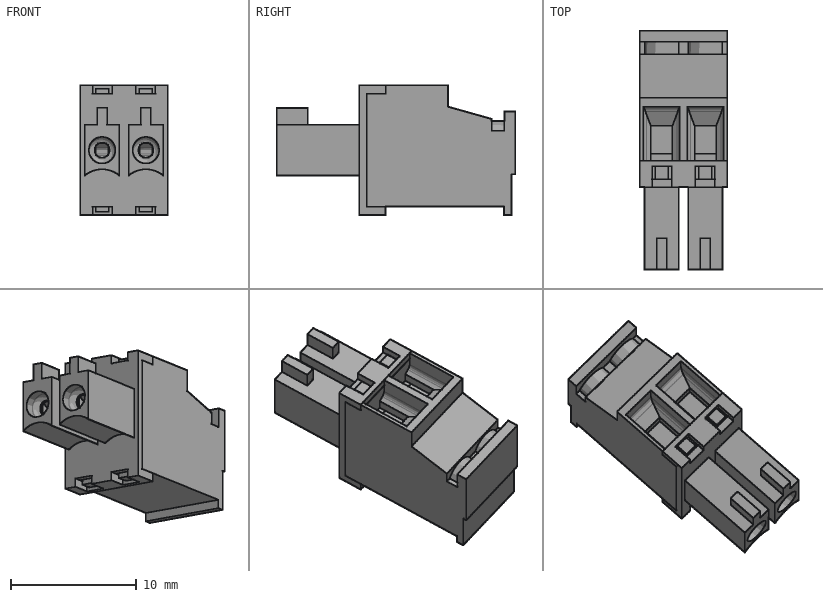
import cadquery as cq
import math


WIDTH = 7.0
HEIGHT = 10.4
REAR_Y = 12.5
PLUG_LENGTH = 6.6
POLE_PITCH = 3.5
POLE_CENTRES = [-POLE_PITCH / 2, POLE_PITCH / 2]

PLATE_THICKNESS = 0.62
ARM_THICKNESS = 0.69
ARM_END_Y = 2.12
WINDOW_PITCH = 3.46
WINDOW_WIDTH = 1.56
WINDOW_END_Y = 1.65

PLUG_WIDTH = 2.77
PLUG_TOP = 7.25
PLUG_BOTTOM = 3.17
PLUG_ARCH = 0.5
KEY_WIDTH = 0.8
KEY_LENGTH = 2.5
KEY_TOP = 8.57
BORE_Z = HEIGHT / 2
BORE_RADIUS = 1.06
BORE_STRAIGHT_DEPTH = 0.8
THROAT_RADIUS = 0.6
THROAT_LENGTH = 0.2

HOUSING_TOP_END_Y = 7.12
SLOPE_TOP = 8.68
SLOPE_BOTTOM = 7.7
GROOVE_FRONT_Y = 10.6
GROOVE_REAR_Y = 11.62
GROOVE_FLOOR = 6.75
REAR_WALL_TOP = 8.3
REAR_STEP_Z = 3.27
REAR_STEP_DEPTH = 0.3
FOOT_THICKNESS = 0.62
LATCH_WIDTH = 1.04
LATCH_HEIGHT = 0.4
WIRE_TUNNEL_RADIUS = 1.57
WIRE_TUNNEL_Z = 5.97

POCKET_WIDTH = 2.9
POCKET_REAR_Y = 6.43
POCKET_WALL_DEPTH = 1.65
POCKET_SLOPE_DEPTH = 0.38
POCKET_FILLET = 0.5
SHAFT_WIDTH = 1.73
SHAFT_REAR_Y = 4.9
SHAFT_DEPTH = 0.8
CORNER_SELECTION_MARGIN = 0.1

CONTACT_WIDTH = 1.7
CONTACT_HEIGHT = 1.9
MOUTH_WIDTH = 0.98
MOUTH_TOP = 0.55
MOUTH_BOTTOM = -0.62
MOUTH_DEPTH = 0.9
MOUTH_END_TOP = 0.17
MOUTH_END_BOTTOM = -0.4
MOUTH_FILLET = 0.12

CLAMP_HEIGHT = 1.0
BAR_REAR_Y = 2.67

PLUG_FRONT_Y = -PLUG_LENGTH
BORE_FILLET = BORE_RADIUS - THROAT_RADIUS
CONTACT_FRONT_Y = PLUG_FRONT_Y + BORE_STRAIGHT_DEPTH + BORE_FILLET + THROAT_LENGTH
POCKET_CORNER_Z = HEIGHT - POCKET_WALL_DEPTH
POCKET_FLOOR_Z = POCKET_CORNER_Z - POCKET_SLOPE_DEPTH
SHAFT_FLOOR_Z = POCKET_FLOOR_Z - SHAFT_DEPTH


def block(x_centre, width, y_start, y_end, z_bottom, z_top):
    """Box centred on x_centre between the given Y and Z limits."""
    return (
        cq.Workplane("XY")
        .box(width, y_end - y_start, z_top - z_bottom, centered=(True, False, False))
        .translate((x_centre, y_start, z_bottom))
    )


def extrude_side_profile(points, x_centre, width):
    """Extrude a (Y, Z) outline along X, centred on x_centre."""
    return (
        cq.Workplane("YZ", origin=(x_centre - width / 2, 0, 0))
        .polyline(points)
        .close()
        .extrude(width)
    )



def plug(x_centre):
    """Solid plug with an arched underside and a coding key on top."""
    half_width = PLUG_WIDTH / 2
    body = (
        cq.Workplane("XZ")
        .moveTo(-half_width, PLUG_BOTTOM)
        .lineTo(-half_width, PLUG_TOP)
        .lineTo(half_width, PLUG_TOP)
        .lineTo(half_width, PLUG_BOTTOM)
        .threePointArc((0, PLUG_BOTTOM + PLUG_ARCH), (-half_width, PLUG_BOTTOM))
        .close()
        .extrude(PLUG_LENGTH)
        .translate((x_centre, 0, 0))
    )
    key = block(x_centre, KEY_WIDTH, PLUG_FRONT_Y, PLUG_FRONT_Y + KEY_LENGTH, PLUG_TOP, KEY_TOP)
    return body.union(key)


def plug_bore(x_centre):
    """Round pin entry: a wide bore rounded down to a narrow throat that ends at the contact."""
    round_start = BORE_STRAIGHT_DEPTH
    round_end = BORE_STRAIGHT_DEPTH + BORE_FILLET
    diagonal = BORE_FILLET * math.sqrt(0.5)
    return (
        cq.Workplane("XY")
        .lineTo(BORE_RADIUS, 0)
        .lineTo(BORE_RADIUS, round_start)
        .threePointArc((THROAT_RADIUS + diagonal, round_start + diagonal), (THROAT_RADIUS, round_end))
        .lineTo(THROAT_RADIUS, round_end + THROAT_LENGTH)
        .lineTo(0, round_end + THROAT_LENGTH)
        .close()
        .revolve(360, (0, 0, 0), (0, 1, 0))
        .translate((x_centre, PLUG_FRONT_Y, BORE_Z))
    )


def contact_envelope(x_centre):
    """Space taken by a contact, from behind the throat to the back of the plug."""
    z_bottom = BORE_Z - CONTACT_HEIGHT / 2
    return block(x_centre, CONTACT_WIDTH, CONTACT_FRONT_Y, 0, z_bottom, z_bottom + CONTACT_HEIGHT)


def make_cover():
    cover = block(0, WIDTH, 0, PLATE_THICKNESS, 0, HEIGHT)
    for arm_bottom in (0, HEIGHT - ARM_THICKNESS):
        arm_top = arm_bottom + ARM_THICKNESS
        cover = cover.union(block(0, WIDTH, 0, ARM_END_Y, arm_bottom, arm_top))
        for x_centre in (-WINDOW_PITCH / 2, WINDOW_PITCH / 2):
            cover = cover.cut(block(x_centre, WINDOW_WIDTH, 0, WINDOW_END_Y, arm_bottom, arm_top))
    for x_centre in POLE_CENTRES:
        cover = cover.union(plug(x_centre))
        cover = cover.cut(plug_bore(x_centre)).cut(contact_envelope(x_centre))
    return cover



def make_contact(x_centre):
    """Contact with a funnel mouth that narrows in height towards a flat end."""
    mouth_end_y = CONTACT_FRONT_Y + MOUTH_DEPTH
    mouth = extrude_side_profile(
        [
            (CONTACT_FRONT_Y, BORE_Z + MOUTH_BOTTOM),
            (mouth_end_y, BORE_Z + MOUTH_END_BOTTOM),
            (mouth_end_y, BORE_Z + MOUTH_END_TOP),
            (CONTACT_FRONT_Y, BORE_Z + MOUTH_TOP),
        ],
        x_centre,
        MOUTH_WIDTH,
    )
    mouth = mouth.faces(">Y").edges("|X").fillet(MOUTH_FILLET)
    return contact_envelope(x_centre).cut(mouth)



def tool_pocket(x_centre):
    """Pocket with a sloped, filleted floor on three sides and a straight shaft below it.

    It is the part shared by a profile running along Y and a profile running along X,
    so the slopes and their fillets meet in mitres.
    """
    half_pocket = POCKET_WIDTH / 2
    half_shaft = SHAFT_WIDTH / 2
    across = (
        cq.Workplane("XZ", origin=(x_centre, ARM_END_Y, 0))
        .polyline(
            [
                (-half_pocket, HEIGHT),
                (-half_pocket, POCKET_CORNER_Z),
                (-half_shaft, POCKET_FLOOR_Z),
                (half_shaft, POCKET_FLOOR_Z),
                (half_pocket, POCKET_CORNER_Z),
                (half_pocket, HEIGHT),
            ]
        )
        .close()
        .extrude(ARM_END_Y - POCKET_REAR_Y)
    )
    corner_zone = cq.selectors.BoxSelector(
        (-WIDTH, 0, POCKET_CORNER_Z - CORNER_SELECTION_MARGIN),
        (WIDTH, REAR_Y, POCKET_CORNER_Z + CORNER_SELECTION_MARGIN),
    )
    across = across.edges(corner_zone).fillet(POCKET_FILLET)
    along = extrude_side_profile(
        [
            (ARM_END_Y, HEIGHT),
            (ARM_END_Y, POCKET_FLOOR_Z),
            (SHAFT_REAR_Y, POCKET_FLOOR_Z),
            (POCKET_REAR_Y, POCKET_CORNER_Z),
            (POCKET_REAR_Y, HEIGHT),
        ],
        x_centre,
        POCKET_WIDTH,
    )
    along = along.edges(corner_zone).fillet(POCKET_FILLET)
    shaft = block(x_centre, SHAFT_WIDTH, ARM_END_Y, SHAFT_REAR_Y, SHAFT_FLOOR_Z, POCKET_FLOOR_Z)
    return across.intersect(along).union(shaft)


def make_clamp(x_centre):
    """Clamp block filling the rear of the shaft bottom."""
    return block(
        x_centre, SHAFT_WIDTH, BAR_REAR_Y, SHAFT_REAR_Y, SHAFT_FLOOR_Z - CLAMP_HEIGHT, SHAFT_FLOOR_Z
    )


def make_bar(x_centre):
    """Current bar filling the front of the shaft bottom."""
    return block(
        x_centre, SHAFT_WIDTH, ARM_END_Y, BAR_REAR_Y, SHAFT_FLOOR_Z - CLAMP_HEIGHT, SHAFT_FLOOR_Z
    )


def wire_tunnel(x_centre):
    """Round tunnel wall that bulges up through the groove in front of the rear wall."""
    return (
        cq.Workplane("XZ", origin=(x_centre, GROOVE_FRONT_Y, WIRE_TUNNEL_Z))
        .circle(WIRE_TUNNEL_RADIUS)
        .extrude(GROOVE_FRONT_Y - GROOVE_REAR_Y)
    )


def make_housing():
    underside = ARM_THICKNESS
    shoulder = HEIGHT - ARM_THICKNESS
    lower_rear_y = REAR_Y - REAR_STEP_DEPTH
    foot_front_y = lower_rear_y - FOOT_THICKNESS
    housing = extrude_side_profile(
        [
            (PLATE_THICKNESS, underside),
            (PLATE_THICKNESS, shoulder),
            (ARM_END_Y, shoulder),
            (ARM_END_Y, HEIGHT),
            (HOUSING_TOP_END_Y, HEIGHT),
            (HOUSING_TOP_END_Y, SLOPE_TOP),
            (GROOVE_FRONT_Y, SLOPE_BOTTOM),
            (GROOVE_FRONT_Y, GROOVE_FLOOR),
            (GROOVE_REAR_Y, GROOVE_FLOOR),
            (GROOVE_REAR_Y, REAR_WALL_TOP),
            (REAR_Y, REAR_WALL_TOP),
            (REAR_Y, REAR_STEP_Z),
            (lower_rear_y, REAR_STEP_Z),
            (lower_rear_y, 0),
            (foot_front_y, 0),
            (foot_front_y, underside),
        ],
        0,
        WIDTH,
    )
    for x_centre in POLE_CENTRES:
        housing = housing.union(wire_tunnel(x_centre))
        for latch_bottom in (underside - LATCH_HEIGHT, shoulder):
            latch_top = latch_bottom + LATCH_HEIGHT
            latch = block(x_centre, LATCH_WIDTH, PLATE_THICKNESS, WINDOW_END_Y, latch_bottom, latch_top)
            housing = housing.union(latch)
        housing = housing.cut(tool_pocket(x_centre))
        housing = housing.cut(make_clamp(x_centre)).cut(make_bar(x_centre))
    return housing


housing = make_housing()
cover = make_cover()
contacts = [make_contact(x_centre) for x_centre in POLE_CENTRES]
clamps = [make_clamp(x_centre) for x_centre in POLE_CENTRES]
bars = [make_bar(x_centre) for x_centre in POLE_CENTRES]

bodies = [housing, cover, *contacts, *clamps, *bars]
result = cq.Compound.makeCompound([body.solids().val() for body in bodies])